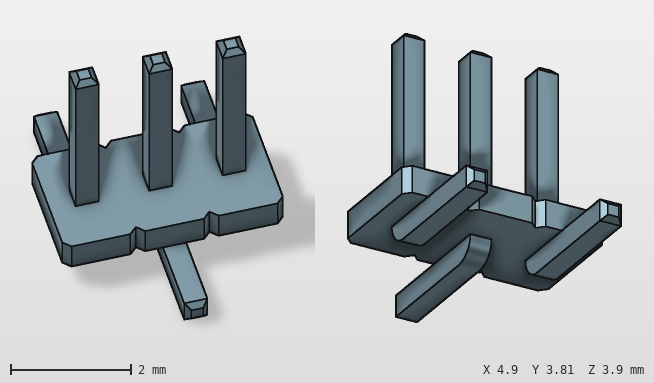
import cadquery as cq

pin_count = 3
overall_length = 4.9
overall_width = 3.81
overall_height = 3.9
pitch = overall_width / pin_count

body_depth = 2.1
body_height = 0.5
corner_cut = 0.125

pin_size = 0.4
tip_chamfer = 0.1
foot_reach = overall_length / 2
bend_radius = pin_size


def body_section(y_center):
    """One pitch of the insulator, with its four upright corners cut."""
    return (
        cq.Workplane("XY", origin=(0, y_center, pin_size))
        .box(body_depth, pitch, body_height, centered=(True, True, False))
        .edges("|Z")
        .chamfer(corner_cut)
    )


def bent_pin(y_center, side):
    """L-shaped square pin whose foot points along X toward side (-1 or +1)."""
    half = pin_size / 2
    inner_x = side * half
    outer_x = -inner_x
    foot_end_x = side * foot_reach
    foot_face = "<X" if side < 0 else ">X"
    return (
        cq.Workplane("XZ", origin=(0, y_center, 0))
        .moveTo(foot_end_x, 0)
        .lineTo(outer_x + side * bend_radius, 0)
        .radiusArc((outer_x, bend_radius), side * bend_radius)
        .lineTo(outer_x, overall_height)
        .lineTo(inner_x, overall_height)
        .lineTo(inner_x, pin_size)
        .lineTo(foot_end_x, pin_size)
        .close()
        .extrude(half, both=True)
        .faces(">Z")
        .chamfer(tip_chamfer)
        .faces(foot_face)
        .chamfer(tip_chamfer)
    )


result = cq.Workplane("XY")
for index in range(pin_count):
    pin_y = (index - (pin_count - 1) / 2) * pitch
    foot_side = -1 if index % 2 == 0 else 1
    result = result.union(body_section(pin_y))
    result = result.union(bent_pin(pin_y, foot_side))